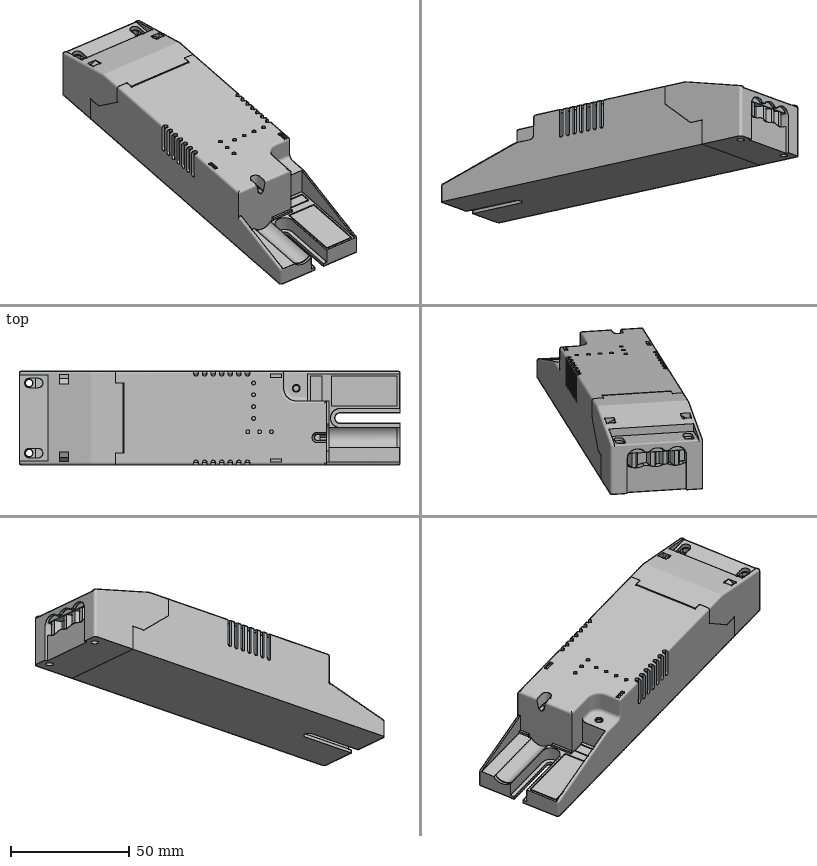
import cadquery as cq
import math

length = 161.2
width = 39.8
height = 29.5
half_width = width / 2
overcut = 1.6

edge_radius = 1.1
wall = 1.3

nose_height = 22.3
slope_end_x = 30.5
step_x = 130.1
ramp_top = 16.8
ramp_bottom = 7.9
ramp_slope = (ramp_top - ramp_bottom) / (length - step_x)

notch_x = 111.9
notch_y = 7.3
notch_radius = 5.3
notch_foot_radius = 1.8
notch_floor_end_x = 121.9
notch_floor_z = ramp_top + ramp_slope * (step_x - notch_floor_end_x)
notch_center = (notch_x + notch_radius, notch_y + notch_radius)
screw_hole_diameter = 3.2
screw_core_diameter = 2.5
screw_counterbore_depth = 0.8
screw_hole_depth = 6.5

bay_floor_z = 7.7
ledge_end_x = 131.1
ledge_height = 1.0
label_depth = 0.3
label_outer_y = 17.7
large_label_x = (132.0, 159.8)
large_label_inner_y = 5.0
small_label_x = (123.4, 128.2)
slot_width = 4.4
slot_center_x = 135.8
slot_pocket_width = 8.0
slot_pocket_floor_z = 1.5
trough_half_width = 4.2
trough_y = -(slot_pocket_width / 2 + trough_half_width)
trough_radius = 5.2
trough_lip_x = 159.8
trough_lip_radius = 5.8
ledge_trough_radius = 5.8

wire_notch_width = 4.4
wire_notch_center_x = 126.1
wire_notch_depth = 4.8
wire_notch_floor_width = 2.4
wire_groove_width = 2.0
wire_groove_depth = 1.0
wire_groove_start_x = 127.2

vent_count = 7
vent_first_x = 74.8
vent_last_x = 96.6
vent_pitch = (vent_last_x - vent_first_x) / (vent_count - 1)
vent_width = 2.0
vent_bottom_z = 17.0
vent_side_depth = 1.21
vent_top_depth = 1.5
vent_reach = 2.1

dot_diameter = 1.6
dot_depth = 1.0
dot_pitch = 5.0
dot_column_x = 99.2
dot_column_top_y = 14.8
dot_column_count = 4
dot_row_y = -5.8
dot_row_start_x = 96.8
dot_row_count = 3
latch_x = (106.5, 111.0)
latch_inner_y = 17.3
latch_depth = 1.0

joint_bottom_x = 21.0
joint_shelf_z = 10.6
joint_shelf_x = 27.1
joint_top_x = 40.8
joint_shoulder_z = 21.3
tab_length = 3.0
tab_half_width = 14.8
tab_thickness = 1.6
tab_gap = 0.5

screw_ledge_z = 21.8
screw_ledge_length = 12.3
screw_ledge_half_width = 18.2
screw_ledge_edge_radius = 0.5
screw_slot_y = 14.8
screw_slot_x = (2.3, 10.0)
screw_slot_width = 4.0
screw_slot_depth = 1.3
screw_seat_end_x = 6.8
screw_seat_depth = 2.0
screw_through_diameter = 3.0
screw_through_x = 4.2
hook_x = (17.0, 20.8)
hook_inner_y = 14.4
hook_bend_y = 16.8
hook_outer_y = 18.4
hook_bend_drop = 1.3
hook_outer_drop = 5.6

entry_pitch = 8.5
entry_radius = entry_pitch / 2
entry_z = 15.3
entry_valley_z = 18.0
entry_panel_recess = 1.3
entry_depth = 4.8
entry_top_z = 17.4
entry_sill_z = 11.6
entry_dip = 0.8
entry_dip_half_chord = 3.2
entry_fin_ys = (9.5, 1.5, -3.9, -8.7)
entry_fin_tip_width = 1.8
entry_fin_base_width = 4.2
entry_fin_setback = 1.6


def block(x_range, y_range, z_range):
    """Box given by its limits on each axis."""
    size = [high - low for low, high in (x_range, y_range, z_range)]
    return cq.Workplane("XY").box(*size, centered=False).translate(
        (x_range[0], y_range[0], z_range[0])
    )


def prism_along_y(points, y_range):
    """Outline in X and Z, extruded between two Y limits."""
    plane = cq.Workplane("XZ", origin=(0, y_range[1], 0))
    return plane.polyline(points).close().extrude(y_range[1] - y_range[0])


def cylinder_along_x(diameter, x_range, y, z):
    """Cylinder between two X limits about the axis at (y, z)."""
    plane = cq.Workplane("YZ", origin=(x_range[0], y, z))
    return plane.circle(diameter / 2).extrude(x_range[1] - x_range[0])


def hole_from(top_z, x, y, diameter, depth):
    """Upright cylinder hanging down from top_z."""
    return cq.Workplane("XY", origin=(x, y, top_z)).circle(diameter / 2).extrude(-depth)


def open_slot(center_x, y, slot_size, z_range):
    """Slot with a round inner end that runs out through the +X end."""
    round_end = hole_from(z_range[1], center_x, y, slot_size, z_range[1] - z_range[0])
    straight = block((center_x, length + overcut), (y - slot_size / 2, y + slot_size / 2), z_range)
    return round_end.union(straight)


def corner_notch():
    """Cutter for the notch: round in the corner and around its foot, then sloping down."""
    flat_part = block((notch_x, notch_floor_end_x), (notch_y, width), (notch_floor_z, 2 * height))
    flat_part = flat_part.edges("|Z and <X and <Y").fillet(notch_radius)
    flat_part = flat_part.faces("<Z").edges("not(>X or >Y)").fillet(notch_foot_radius)
    slope_outline = [
        (notch_floor_end_x, notch_floor_z),
        (step_x, ramp_top),
        (step_x, 2 * height),
        (notch_floor_end_x, 2 * height),
    ]
    return flat_part.union(prism_along_y(slope_outline, (notch_y, width)))


def outer_shape():
    """Whole outside of the closed case, with its corner notch and rounded edges."""
    side_outline = [
        (0, 0),
        (length, 0),
        (length, ramp_bottom),
        (step_x, ramp_top),
        (step_x, height),
        (slope_end_x, height),
        (0, nose_height),
    ]
    body = prism_along_y(side_outline, (-half_width, half_width))
    body = body.edges("|Z and (<X or >X)").fillet(edge_radius)
    body = body.cut(corner_notch())
    return body.newObject([edge for edge in body.edges().vals() if is_rim(edge)]).fillet(edge_radius)


def is_rim(edge):
    """True for the edges of the top and for the upper edges of the two long sides."""
    box = edge.BoundingBox()
    tolerance = 0.02
    crosses_whole_width = box.ylen > width - tolerance
    on_top = box.zmin > height - tolerance and not crosses_whole_width
    on_side = abs(edge.Center().y) > half_width - tolerance
    runs_along_side = box.xlen > tolerance and box.zmax > tolerance
    return on_top or (on_side and runs_along_side)


def cap_region(end_clearance):
    """Space taken by the cap; the clearance widens it at the end of the top tab."""
    outline = [
        (-overcut, -overcut),
        (joint_bottom_x, -overcut),
        (joint_bottom_x, joint_shelf_z),
        (joint_shelf_x, joint_shelf_z),
        (joint_top_x, joint_shoulder_z),
        (joint_top_x, height + overcut),
        (-overcut, height + overcut),
    ]
    region = prism_along_y(outline, (-width, width))
    tab = block(
        (joint_top_x - overcut, joint_top_x + tab_length + end_clearance),
        (-tab_half_width, tab_half_width),
        (height - tab_thickness, height + overcut),
    )
    return region.union(tab)


def terminal_bay():
    """Cutter for the flat bay behind the step, leaving a thin sloping wall on each side."""
    inner_y = half_width - wall
    behind_step = block((step_x, length + overcut), (-inner_y, inner_y), (bay_floor_z, height + overcut))
    beside_step = block(
        (notch_floor_end_x, step_x + overcut), (notch_y, inner_y), (bay_floor_z, height + overcut)
    )
    ledge = block(
        (step_x, ledge_end_x), (-inner_y, notch_y), (bay_floor_z, bay_floor_z + ledge_height)
    )
    return behind_step.cut(ledge).union(beside_step)


def label_recesses():
    """Cutters for the two shallow rectangles in the bay floor."""
    z_range = (bay_floor_z - label_depth, bay_floor_z + overcut)
    large = block(large_label_x, (large_label_inner_y, label_outer_y), z_range)
    small = block(small_label_x, (notch_y, label_outer_y), z_range)
    return large.union(small)


def mounting_slot():
    """Cutter for the open slot with its wider, sunken surround."""
    through = open_slot(slot_center_x, 0, slot_width, (-overcut, bay_floor_z))
    surround = open_slot(
        slot_center_x, 0, slot_pocket_width, (slot_pocket_floor_z, bay_floor_z + ledge_height)
    )
    return through.union(surround)


def trough_section(x_range, radius, rim_half_width, rim_z):
    """Round-bottomed groove with the given radius and the given half width at its rim."""
    axis_z = rim_z + math.sqrt(radius**2 - rim_half_width**2)
    below_rim = block(x_range, (-half_width, half_width), (0, rim_z))
    return cylinder_along_x(2 * radius, x_range, trough_y, axis_z).intersect(below_rim)


def cable_trough():
    """Cutter for the trough: wider through the ledge and shallower at the lip on its outer end."""
    ledge_part = trough_section(
        (step_x, ledge_end_x), ledge_trough_radius, ledge_trough_radius, bay_floor_z + ledge_height
    )
    main_part = trough_section(
        (ledge_end_x, trough_lip_x), trough_radius, trough_half_width, bay_floor_z
    )
    lip_part = trough_section(
        (trough_lip_x, length + overcut), trough_lip_radius, trough_half_width, bay_floor_z
    )
    return ledge_part.union(main_part).union(lip_part)


def wire_notch():
    """Cutter for the tapered notch in the top edge, with a V groove in its floor."""
    floor_z = height - wire_notch_depth
    inset = (wire_notch_width - wire_notch_floor_width) / 2
    taper = math.degrees(math.atan(inset / wire_notch_depth))
    straight_length = 2 * (step_x + overcut - wire_notch_center_x)
    notch = (
        cq.Workplane("XY", origin=(wire_notch_center_x + straight_length / 2, trough_y, height))
        .slot2D(straight_length + wire_notch_width, wire_notch_width)
        .extrude(-wire_notch_depth, taper=taper)
    )
    half_groove = wire_groove_width / 2
    groove = (
        cq.Workplane("YZ", origin=(wire_groove_start_x, trough_y, floor_z))
        .polyline([(-half_groove, 0), (half_groove, 0), (0, -wire_groove_depth)])
        .close()
        .extrude(step_x - wire_groove_start_x)
    )
    return notch.union(groove)


def notch_screw_hole():
    """Cutter for the blind hole in the notch floor."""
    x, y = notch_center
    top_z = notch_floor_z + overcut
    counterbore = hole_from(top_z, x, y, screw_hole_diameter, overcut + screw_counterbore_depth)
    core = hole_from(top_z, x, y, screw_core_diameter, overcut + screw_hole_depth)
    return counterbore.union(core)


def vent_slot(x, side):
    """Cutter for one slot that runs up a side (side is -1 or +1) and over its top edge."""
    side_plane = cq.Workplane("XZ", origin=(x, side * half_width, 0))
    down_the_side = (
        side_plane.center(0, height)
        .slot2D(2 * (height - vent_bottom_z), vent_width, 90)
        .extrude(side * vent_side_depth)
    )
    top_plane = cq.Workplane("XY", origin=(x, side * half_width, height))
    over_the_top = top_plane.slot2D(2 * vent_reach, vent_width, 90).extrude(-vent_top_depth)
    return down_the_side.union(over_the_top)


def indicator_dots():
    """Cutters for the blind dots, a column across the top and a row along it."""
    column = [(dot_column_x, dot_column_top_y - i * dot_pitch) for i in range(dot_column_count)]
    row = [(dot_row_start_x + i * dot_pitch, dot_row_y) for i in range(dot_row_count)]
    top = cq.Workplane("XY", origin=(0, 0, height))
    return top.pushPoints(column + row).circle(dot_diameter / 2).extrude(-dot_depth)


def latch_pocket(side):
    """Cutter for a shallow pocket in the top beside one long edge."""
    outer_y = half_width - wall
    pocket = block(latch_x, (latch_inner_y, outer_y), (height - latch_depth, height + overcut))
    return pocket if side > 0 else pocket.mirror("XZ")


def screw_ledge():
    """Cutter for the flat screw ledge at the outer end of the cap, leaving its edge rounded."""
    radius = screw_ledge_edge_radius
    middle = radius * (1 - math.sqrt(0.5))
    profile = (
        cq.Workplane("XZ", origin=(0, screw_ledge_half_width, 0))
        .moveTo(0, screw_ledge_z - radius)
        .threePointArc((middle, screw_ledge_z - middle), (radius, screw_ledge_z))
        .lineTo(screw_ledge_length, screw_ledge_z)
        .lineTo(screw_ledge_length, height)
        .lineTo(-overcut, height)
        .lineTo(-overcut, screw_ledge_z - radius)
        .close()
    )
    return profile.extrude(2 * screw_ledge_half_width)


def sunken_slot(y, depth):
    """Slot of the given depth below the screw ledge."""
    start_x, end_x = screw_slot_x
    floor_plane = cq.Workplane("XY", origin=((start_x + end_x) / 2, y, screw_ledge_z))
    return floor_plane.slot2D(end_x - start_x, screw_slot_width).extrude(-depth)


def screw_slot(y):
    """Cutter for a sunken slot with a through hole in its deeper outer end."""
    seat_side = block((0, screw_seat_end_x), (y - width, y + width), (0, height))
    seat = sunken_slot(y, screw_seat_depth).intersect(seat_side)
    through = hole_from(screw_ledge_z, screw_through_x, y, screw_through_diameter, height)
    return sunken_slot(y, screw_slot_depth).union(seat).union(through)


def hook_pocket(side):
    """Cutter for a pocket in the slope whose floor falls in two steps towards the side wall."""
    surface_z = nose_height + (height - nose_height) * hook_x[0] / slope_end_x
    outline = [
        (hook_inner_y, surface_z),
        (hook_bend_y, surface_z - hook_bend_drop),
        (hook_outer_y, surface_z - hook_outer_drop),
        (hook_outer_y, height),
        (hook_inner_y, height),
    ]
    plane = cq.Workplane("YZ", origin=(hook_x[0], 0, 0))
    pocket = plane.polyline(outline).close().extrude(hook_x[1] - hook_x[0])
    return pocket if side > 0 else pocket.mirror("XZ")


def entry_outline(bottom_z):
    """Outline of the entry panel: straight sides and three round arches on top."""
    side_y = entry_pitch + entry_radius
    arch_half_chord = math.sqrt(entry_radius**2 - (entry_valley_z - entry_z) ** 2)
    arch_top_z = entry_z + entry_radius
    return (
        cq.Workplane("YZ", origin=(-overcut, 0, 0))
        .moveTo(-side_y, bottom_z)
        .lineTo(-side_y, entry_z)
        .threePointArc((-entry_pitch, arch_top_z), (-entry_pitch + arch_half_chord, entry_valley_z))
        .lineTo(-arch_half_chord, entry_valley_z)
        .threePointArc((0, arch_top_z), (arch_half_chord, entry_valley_z))
        .lineTo(entry_pitch - arch_half_chord, entry_valley_z)
        .threePointArc((entry_pitch, arch_top_z), (side_y, entry_z))
        .lineTo(side_y, bottom_z)
        .close()
    )


def entry_fin(y):
    """Upright fin on the back wall of the opening, narrower towards the outer face."""
    tip = entry_fin_tip_width / 2
    base = entry_fin_base_width / 2
    outline = [
        (entry_fin_setback, y - tip),
        (entry_fin_setback, y + tip),
        (entry_depth, y + base),
        (entry_depth, y - base),
    ]
    return cq.Workplane("XY").polyline(outline).close().extrude(height)


def cable_entry():
    """Cutter for the set-back panel and the deeper opening across its upper part."""
    half_span = entry_pitch + entry_radius
    panel = entry_outline(-overcut).extrude(overcut + entry_panel_recess)
    deep = entry_outline(entry_sill_z).extrude(overcut + entry_depth)
    deep = deep.intersect(block((-overcut, entry_depth), (-half_span, half_span), (0, entry_top_z)))
    for y in (-entry_pitch, 0, entry_pitch):
        dip = (
            cq.Workplane("YZ", origin=(0, y, entry_sill_z))
            .moveTo(-entry_dip_half_chord, 0)
            .threePointArc((0, -entry_dip), (entry_dip_half_chord, 0))
            .close()
            .extrude(entry_depth)
        )
        deep = deep.union(dip)
    for y in entry_fin_ys:
        deep = deep.cut(entry_fin(y))
    return panel.union(deep)


def make_housing(case):
    housing = case.cut(cap_region(tab_gap))
    housing = housing.cut(terminal_bay()).cut(label_recesses())
    housing = housing.cut(mounting_slot()).cut(cable_trough())
    housing = housing.cut(wire_notch()).cut(notch_screw_hole()).cut(indicator_dots())
    for side in (-1, 1):
        housing = housing.cut(latch_pocket(side))
        for i in range(vent_count):
            housing = housing.cut(vent_slot(vent_first_x + i * vent_pitch, side))
    return housing


def make_cap(case):
    cap = case.intersect(cap_region(0)).cut(screw_ledge())
    cap = cap.cut(cable_entry())
    for side in (-1, 1):
        cap = cap.cut(screw_slot(side * screw_slot_y)).cut(hook_pocket(side))
    return cap


case = outer_shape()
housing = make_housing(case)
cap = make_cap(case)

result = cq.Compound.makeCompound([housing.solids().val(), cap.solids().val()])